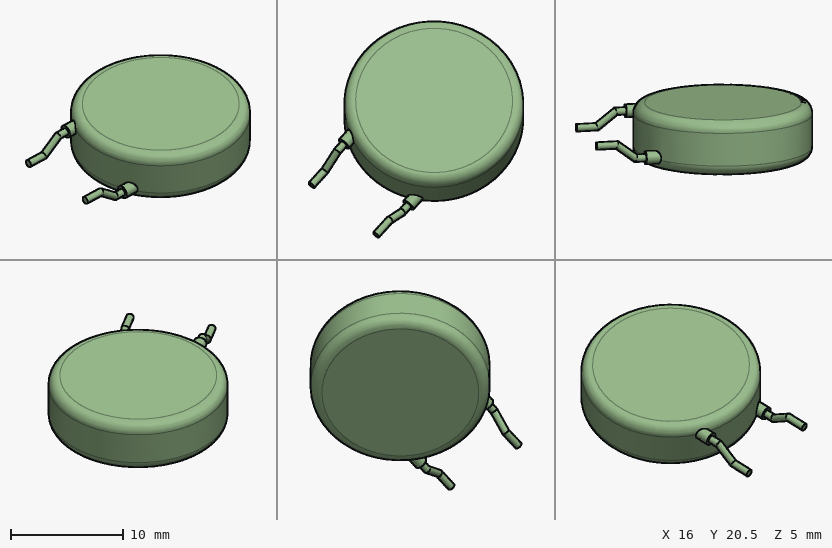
import cadquery as cq

HOUSING_DIAMETER = 16.0
HOUSING_THICKNESS = 5.0
RIM_RADIUS = 1.0

COLLAR_DIAMETER = 1.19
COLLAR_END_Y = -8.02

LEAD_DIAMETER = 0.7
LEAD_PITCH = 7.5
LEAD_EXIT_HEIGHT = 1.31
FIRST_BEND_Y = -8.9
SECOND_BEND_Y = -10.64
LEAD_TIP_Y = -12.5

LEAD_EXITS = [
    (-LEAD_PITCH / 2, LEAD_EXIT_HEIGHT),
    (LEAD_PITCH / 2, -LEAD_EXIT_HEIGHT),
]


def make_collar(x, z):
    """Cylinder along Y, from inside the housing out to the collar face."""
    return (
        cq.Workplane("XZ", origin=(x, 0, z))
        .circle(COLLAR_DIAMETER / 2)
        .extrude(-COLLAR_END_Y)
    )


def make_housing():
    """Disc with rounded rims and a collar at each lead exit."""
    housing = (
        cq.Workplane("XY", origin=(0, 0, -HOUSING_THICKNESS / 2))
        .circle(HOUSING_DIAMETER / 2)
        .extrude(HOUSING_THICKNESS)
        .edges("%CIRCLE")
        .fillet(RIM_RADIUS)
    )
    for x, z in LEAD_EXITS:
        housing = housing.union(make_collar(x, z))
    return housing


def make_lead(x, exit_z):
    """Wire with two mitred bends, from the collar face to its tip at Z = 0."""
    path = cq.Workplane("YZ", origin=(x, 0, 0)).polyline([
        (COLLAR_END_Y, exit_z),
        (FIRST_BEND_Y, exit_z),
        (SECOND_BEND_Y, 0),
        (LEAD_TIP_Y, 0),
    ])
    return (
        cq.Workplane("XZ", origin=(x, COLLAR_END_Y, exit_z))
        .circle(LEAD_DIAMETER / 2)
        .sweep(path, transition="right")
    )


housing = make_housing()
leads = [make_lead(x, z) for x, z in LEAD_EXITS]

result = cq.Compound.makeCompound([housing.solids().val(), *[lead.val() for lead in leads]])